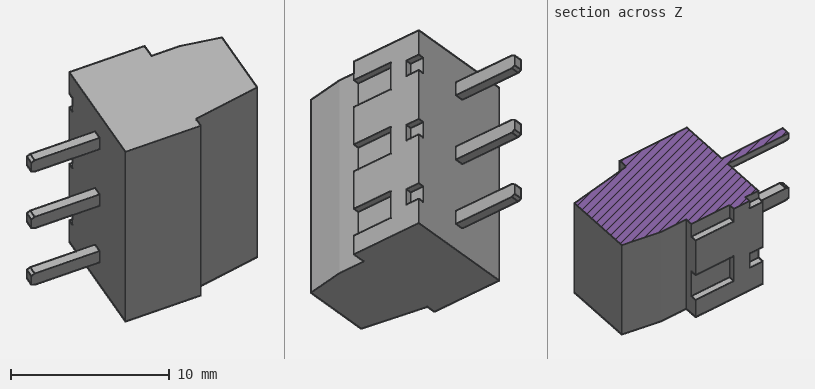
import cadquery as cq

body_height = 15.0
base_width = 8.0
base_depth = 5.3
body_depth = 10.0
left_step = 0.99
right_step = 0.69
left_wall_depth = 2.0
left_taper = 0.48
right_taper = 0.82

contact_count = 3
contact_pitch = body_height / contact_count

recess_depth = 0.45
window_length = 3.0
window_height = 2.08
notch_length = 1.02
notch_height = 1.2

pin_length = 4.8
pin_width = 0.65
pin_height = 1.0
pin_tip_length = 0.24
pin_tip_inset = 0.12

left = -base_width / 2
right = base_width / 2
contact_levels = [
    (index - (contact_count - 1) / 2) * contact_pitch for index in range(contact_count)
]


def make_housing():
    """Extrude the stepped and tapered plan outline over the full height."""
    outline = [
        (left, 0),
        (right, 0),
        (right, base_depth),
        (right - right_step, base_depth),
        (right - right_step - right_taper, body_depth),
        (left + left_step + left_taper, body_depth),
        (left + left_step, base_depth + left_wall_depth),
        (left + left_step, base_depth),
        (left, base_depth),
    ]
    return (
        cq.Workplane("XY")
        .workplane(offset=-body_height / 2)
        .polyline(outline)
        .close()
        .extrude(body_height)
    )


def make_recess(start_y, length, height, level):
    """Box that cuts into the left face from start_y towards +Y."""
    return (
        cq.Workplane("XY")
        .box(recess_depth, length, height, centered=(False, False, True))
        .translate((left, start_y, level))
    )


def make_pin(level):
    """Flat pin pointing to -Y, its tip bevelled above and below."""
    half_height = pin_height / 2
    tip_half_height = half_height - pin_tip_inset
    bevel_start = -pin_length + pin_tip_length
    side_outline = [
        (0, half_height),
        (bevel_start, half_height),
        (-pin_length, tip_half_height),
        (-pin_length, -tip_half_height),
        (bevel_start, -half_height),
        (0, -half_height),
    ]
    return (
        cq.Workplane("YZ")
        .polyline(side_outline)
        .close()
        .extrude(pin_width / 2, both=True)
        .translate((0, 0, level))
    )


result = make_housing()
for level in contact_levels:
    window = make_recess(base_depth - window_length, window_length, window_height, level)
    notch = make_recess(0, notch_length, notch_height, level)
    result = result.cut(window).cut(notch).union(make_pin(level))